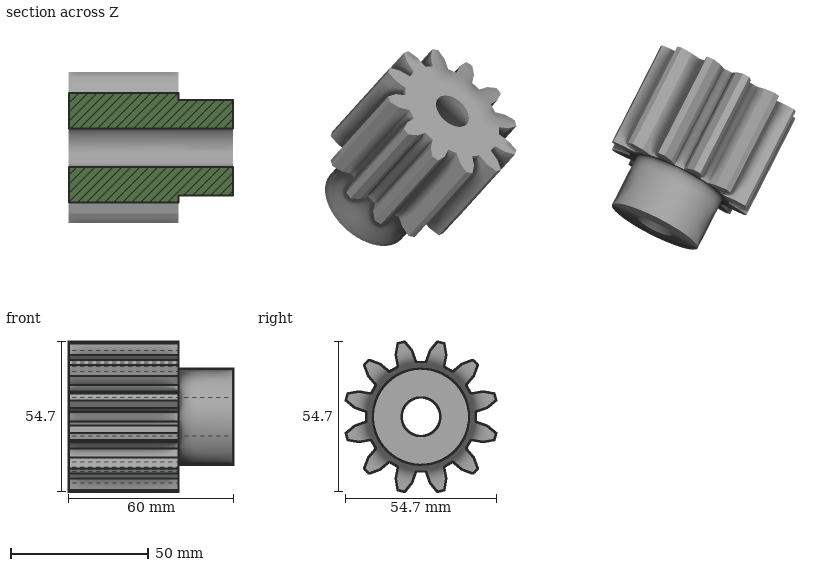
import cadquery as cq
import math

total_length = 60.0
gear_length = 40.0
hub_diameter = 35.0
bore_diameter = 14.0

tooth_count = 12
tip_radius = 28.0
tip_width = 2.65
flank_radius = 24.3
flank_width = 6.2
root_flat_distance = 20.0
root_flat_width = 3.6

tooth_pitch = 2 * math.pi / tooth_count


def point_at(radius, angle):
    """Point in the gear plane, with the angle measured from +Y."""
    return (radius * math.cos(angle), radius * math.sin(angle))


def tooth_points(centre_angle):
    """Points around one tooth; its neighbours are joined to it by root flats."""
    root_radius = math.hypot(root_flat_distance, root_flat_width / 2)
    root_half_angle = tooth_pitch / 2 - math.atan2(root_flat_width / 2, root_flat_distance)
    flank_half_angle = math.asin(flank_width / 2 / flank_radius)
    tip_half_angle = math.asin(tip_width / 2 / tip_radius)
    return [
        point_at(root_radius, centre_angle - root_half_angle),
        point_at(flank_radius, centre_angle - flank_half_angle),
        point_at(tip_radius, centre_angle - tip_half_angle),
        point_at(tip_radius, centre_angle + tip_half_angle),
        point_at(flank_radius, centre_angle + flank_half_angle),
        point_at(root_radius, centre_angle + root_half_angle),
    ]


def make_gear():
    """Toothed body with its outer face at X = 0."""
    outline = []
    for tooth in range(tooth_count):
        outline += tooth_points((tooth + 0.5) * tooth_pitch)
    return cq.Workplane("YZ").polyline(outline).close().extrude(gear_length)


def make_hub():
    """Plain round hub behind the teeth."""
    hub_length = total_length - gear_length
    return cq.Workplane("YZ", origin=(gear_length, 0, 0)).circle(hub_diameter / 2).extrude(hub_length)


def make_bore():
    """Shaft bore along the full length."""
    return cq.Workplane("YZ").circle(bore_diameter / 2).extrude(total_length)


result = make_gear().union(make_hub()).cut(make_bore())